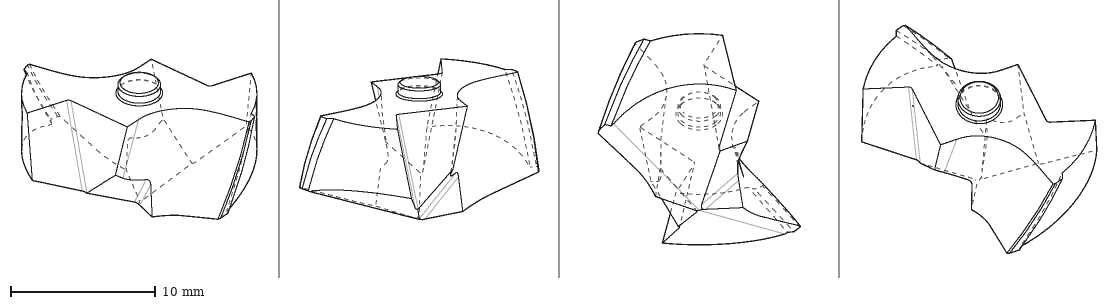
import cadquery as cq
import math


body_radius = 8.52
clearance_radius = 8.17
point_depth = 9.14
bottom_allowance = 0.68
blank_depth = point_depth + bottom_allowance
helix_angle = 30.0
twist = math.degrees(blank_depth * math.tan(math.radians(helix_angle)) / body_radius)

margin_start_angle = 14.7
margin_lead_angle = 1.0
margin_end_angle = 20.0
margin_step_angle = 22.2

flute_start_radius = 8.44
flute_points = [(5.93, 1.64), (4.07, 0.87), (2.92, -0.24), (2.28, -1.43), (2.11, -2.55)]
flute_heel_x = 2.11

drive_wall_y = 3.79
drive_corner_x = 3.19
drive_face_angle = 70.4
drive_face_lean = 11.6
drive_corner_fillet = 0.25

edge_slope = 0.365
heel_slope = 0.388
relief_slope = 0.1

gash_azimuth = -31.0
gash_elevation = 53.6
gash_angle = 100.5
gash_offset = 0.1
gash_fillet = 0.34

pin_radius = 1.48
pin_height = 0.85
pin_chamfer = 0.15
pin_base_flare = 0.14
pin_overlap = 0.17

reach = 3 * body_radius


def polar(radius, angle):
    a = math.radians(angle)
    return (radius * math.cos(a), radius * math.sin(a))


def opposite(point):
    return (-point[0], -point[1])


def cut_both_lobes(body, cutter):
    return body.cut(cutter).cut(cutter.rotate((0, 0, 0), (0, 0, 1), 180))


def fluted_blank():
    corner = polar(flute_start_radius, margin_start_angle)
    margin_front = polar(body_radius, margin_start_angle + margin_lead_angle)
    margin_middle = polar(body_radius, (margin_start_angle + margin_end_angle) / 2)
    margin_back = polar(body_radius, margin_end_angle)
    clearance_front = polar(clearance_radius, margin_step_angle)
    clearance_middle = polar(clearance_radius, (margin_step_angle + 90) / 2)
    heel_y = math.sqrt(clearance_radius**2 - flute_heel_x**2)
    heel = (-flute_heel_x, heel_y)

    section = cq.Workplane("XY").moveTo(*corner)
    for place in (lambda p: p, opposite):
        section = (
            section.lineTo(*place(margin_front))
            .threePointArc(place(margin_middle), place(margin_back))
            .lineTo(*place(clearance_front))
            .threePointArc(place(clearance_middle), place(heel))
            .lineTo(*place(opposite(flute_points[-1])))
            .spline(
                [place(opposite(p)) for p in reversed(flute_points[:-1])] + [place(opposite(corner))],
                includeCurrent=True,
            )
        )
    blank = section.close().twistExtrude(blank_depth, twist)
    return blank.rotate((0, 0, 0), (0, 0, 1), -twist).translate((0, 0, -blank_depth))


def drive_pocket():
    face_x, face_y = polar(reach, drive_face_angle)
    lean_shift = blank_depth * math.tan(math.radians(drive_face_lean))

    def outline(workplane, corner_x):
        return workplane.polyline(
            [
                (corner_x, -drive_wall_y),
                (corner_x - face_x, -drive_wall_y - face_y),
                (corner_x + reach, -drive_wall_y - face_y),
                (corner_x + reach, -drive_wall_y),
            ]
        ).close()

    top = outline(cq.Workplane("XY"), -drive_corner_x)
    bottom = outline(top.workplane(offset=-blank_depth), -drive_corner_x + lean_shift)
    pocket = bottom.loft(ruled=True, combine=True)
    inner_corner = cq.selectors.NearestToPointSelector(
        (-drive_corner_x + lean_shift / 2, -drive_wall_y, -blank_depth / 2)
    )
    return pocket.edges(inner_corner).fillet(drive_corner_fillet)


def flank_facet(far_y, y_slope):
    """Space below a sloping facet that runs from y = 0 to far_y and passes through the tip."""
    rise = edge_slope * reach
    profiles = []
    for y in (0, far_y):
        middle_z = -point_depth + y_slope * y
        corners = [
            (-reach, y, middle_z - rise),
            (reach, y, middle_z + rise),
            (reach, y, -reach),
            (-reach, y, -reach),
        ]
        profiles.append(cq.Wire.makePolygon([cq.Vector(*c) for c in corners], close=True))
    return cq.Workplane(cq.Solid.makeLoft(profiles, True))


def gash():
    azimuth = math.radians(gash_azimuth)
    elevation = math.radians(gash_elevation)
    along = cq.Vector(
        math.cos(elevation) * math.cos(azimuth),
        math.cos(elevation) * math.sin(azimuth),
        math.sin(elevation),
    )
    down_wall = cq.Vector(
        math.sin(elevation) * math.cos(azimuth),
        math.sin(elevation) * math.sin(azimuth),
        -math.cos(elevation),
    )
    side = cq.Vector(math.sin(azimuth), -math.cos(azimuth), 0)
    start = cq.Vector(0, 0, -point_depth) + side * gash_offset - along * body_radius
    frame = cq.Plane(origin=start, xDir=down_wall, normal=along)
    floor_x, floor_y = polar(reach, -gash_angle)
    wedge = (
        cq.Workplane(frame)
        .polyline([(0, 0), (reach, 0), (reach, floor_y), (floor_x, floor_y)])
        .close()
        .extrude(reach)
    )
    root = cq.selectors.NearestToPointSelector((start + along * (reach / 2)).toTuple())
    return wedge.edges(root).fillet(gash_fillet)


def pin():
    flare_radius = pin_radius + pin_base_flare
    return (
        cq.Workplane("XZ")
        .moveTo(0, -pin_overlap)
        .lineTo(flare_radius, -pin_overlap)
        .lineTo(flare_radius, 0)
        .lineTo(pin_radius, pin_base_flare)
        .lineTo(pin_radius, pin_height - pin_chamfer)
        .lineTo(pin_radius - pin_chamfer, pin_height)
        .lineTo(0, pin_height)
        .close()
        .revolve(360, (0, 0, 0), (0, 1, 0))
    )


body = fluted_blank()
body = cut_both_lobes(body, drive_pocket())
body = cut_both_lobes(body, flank_facet(body_radius, heel_slope))
body = cut_both_lobes(body, flank_facet(-body_radius, relief_slope))
body = cut_both_lobes(body, gash())
result = body.union(pin())